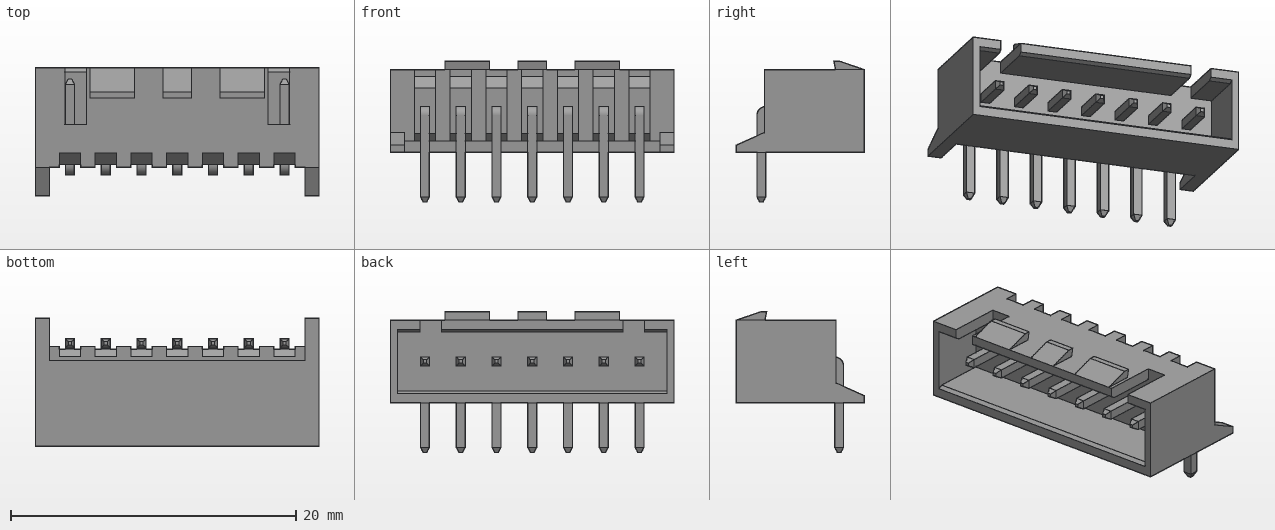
import cadquery as cq


housing_width = 19.9
housing_depth = 7.0
housing_height = 5.8
front_y = -housing_depth

end_wall = 0.52
roof_thickness = 0.84
cavity_width = housing_width - 2 * end_wall
cavity_depth = 4.0
cavity_floor_z = roof_thickness
cavity_roof_z = housing_height - roof_thickness
lead_in_depth = 0.3
lead_in_rise = 0.18

roof_slot_width = 1.5
roof_slot_x = 7.12

latch_height = 0.6
latch_length = 2.15
latch_ramp_length = 1.73
latch_undercut = 0.12
outer_latch_width = 3.15
outer_latch_x = 4.55
middle_latch_width = 2.03

pin_count = 7
pin_pitch = 2.5
pin_size = 0.64
pin_axis_z = housing_height / 2
pin_axis_overhang = 0.22
pin_tail_drop = 3.5
pin_tip_inset = 0.8
pin_taper_length = 0.38
pin_tip_size = 0.24
pin_axis_y = front_y - pin_axis_overhang
pin_positions = [pin_pitch * (i - (pin_count - 1) / 2) for i in range(pin_count)]

pocket_width = 1.5
pocket_depth = 0.2
upper_slope_rise = 0.8
upper_slope_drop = 0.5
upper_slope_top_z = housing_height - upper_slope_drop
lower_step_height = 0.8
lower_step_depth = pocket_depth + upper_slope_rise
lower_slope_rise = 0.52

leg_width = 1.0
leg_length = 1.99
leg_root_height = 1.4
leg_tip_height = 0.5


def extrude_along_x(points, width, center_x):
    """Extrude an outline of (y, z) points symmetrically about center_x."""
    outline = cq.Workplane("YZ", origin=(center_x, 0, 0)).polyline(points).close()
    return outline.extrude(width / 2, both=True)


def make_cavity():
    """Mating cavity with a lead-in slope on its floor and roof."""
    profile = [
        (-cavity_depth, cavity_floor_z),
        (-lead_in_depth, cavity_floor_z),
        (0, cavity_floor_z - lead_in_rise),
        (0, cavity_roof_z + lead_in_rise),
        (-lead_in_depth, cavity_roof_z),
        (-cavity_depth, cavity_roof_z),
    ]
    return extrude_along_x(profile, cavity_width, 0)


def make_roof_slot(center_x):
    """Slot through the roof, open at the mating face."""
    roof_middle_z = (cavity_roof_z + housing_height) / 2
    slot = cq.Workplane("XY").box(roof_slot_width, 2 * cavity_depth, roof_thickness)
    return slot.translate((center_x, 0, roof_middle_z))


def make_front_pocket(center_x):
    """Front wall pocket, with slopes going deeper at its top and its foot."""
    wall_y = front_y + pocket_depth
    upper_y = wall_y + upper_slope_rise
    lower_y = wall_y + lower_slope_rise
    profile = [
        (front_y, housing_height),
        (upper_y, housing_height),
        (upper_y, upper_slope_top_z),
        (wall_y, upper_slope_top_z - upper_slope_rise),
        (wall_y, lower_step_height + lower_slope_rise),
        (lower_y, lower_step_height),
        (front_y, lower_step_height),
    ]
    return extrude_along_x(profile, pocket_width, center_x)


def make_lower_step():
    """Step along the lower front edge, as deep as the pockets at their top."""
    step = cq.Workplane("XY").box(housing_width - 2 * leg_width, lower_step_depth, lower_step_height)
    return step.translate((0, front_y + lower_step_depth / 2, lower_step_height / 2))


def make_leg(center_x):
    """Corner leg with a sloping upper face."""
    profile = [
        (front_y, 0),
        (front_y - leg_length, 0),
        (front_y - leg_length, leg_tip_height),
        (front_y, leg_root_height),
    ]
    return extrude_along_x(profile, leg_width, center_x)


def make_latch(center_x, width):
    """Ramp rising from the opening edge to a flat crest with an undercut face."""
    crest_z = housing_height + latch_height
    profile = [
        (0, housing_height),
        (-latch_ramp_length, crest_z),
        (-latch_length, crest_z),
        (-latch_length + latch_undercut, housing_height),
    ]
    return extrude_along_x(profile, width, center_x)


def make_pin_tip(plane):
    """Tapered pin end growing from the plane along its normal."""
    base = cq.Workplane(plane).rect(pin_size, pin_size)
    return base.workplane(offset=pin_taper_length).rect(pin_tip_size, pin_tip_size).loft()


def make_pin(center_x):
    """Square pin bent down through a quarter turn, with both ends tapered."""
    half = pin_size / 2
    inner_y = pin_axis_y + half
    outer_y = pin_axis_y - half
    top_z = pin_axis_z + half
    bend_z = pin_axis_z - half
    contact_end_y = -pin_tip_inset - pin_taper_length
    tail_end_z = -pin_tail_drop + pin_taper_length

    outline = (
        cq.Workplane("YZ", origin=(center_x, 0, 0))
        .moveTo(contact_end_y, bend_z)
        .lineTo(contact_end_y, top_z)
        .lineTo(inner_y, top_z)
        .radiusArc((outer_y, bend_z), -pin_size)
        .lineTo(outer_y, tail_end_z)
        .lineTo(inner_y, tail_end_z)
        .lineTo(inner_y, bend_z)
        .close()
    )
    shank = outline.extrude(half, both=True)
    contact_plane = cq.Plane((center_x, contact_end_y, pin_axis_z), (1, 0, 0), (0, 1, 0))
    tail_plane = cq.Plane((center_x, pin_axis_y, tail_end_z), (1, 0, 0), (0, 0, -1))
    return shank.union(make_pin_tip(contact_plane)).union(make_pin_tip(tail_plane))


housing = cq.Workplane("XY").box(housing_width, housing_depth, housing_height)
housing = housing.translate((0, front_y / 2, housing_height / 2))
housing = housing.cut(make_cavity()).cut(make_lower_step())
for pin_x in pin_positions:
    housing = housing.cut(make_front_pocket(pin_x))

leg_x = (housing_width - leg_width) / 2
for side in (-1, 1):
    housing = housing.cut(make_roof_slot(side * roof_slot_x))
    housing = housing.union(make_leg(side * leg_x))
    housing = housing.union(make_latch(side * outer_latch_x, outer_latch_width))
housing = housing.union(make_latch(0, middle_latch_width))

result = housing
for pin_x in pin_positions:
    result = result.union(make_pin(pin_x))